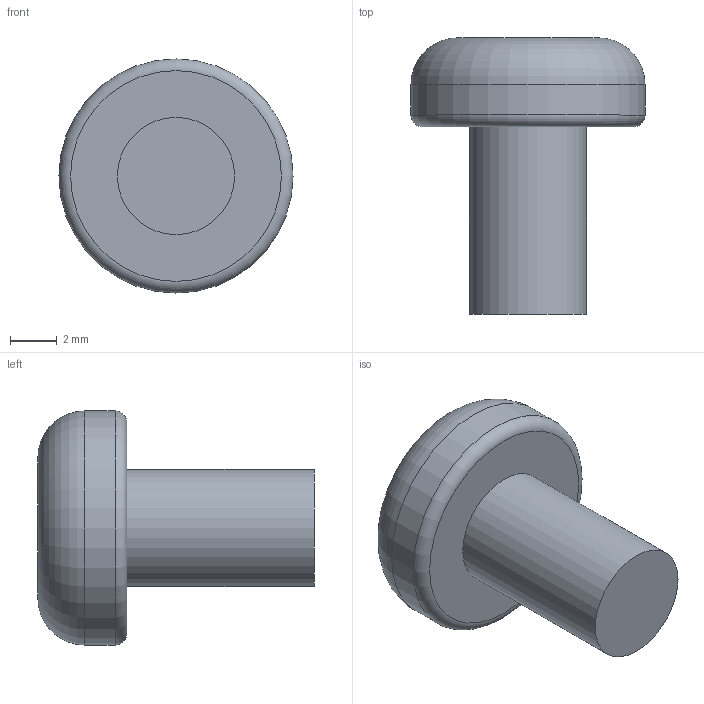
import cadquery as cq

head_diameter = 10.0
head_thickness = 3.8
crown_radius = 2.0
rim_radius = 0.5
stem_diameter = 5.0
stem_length = 8.0


def make_head():
    """Round head from the XZ plane toward +Y, with both edges rounded."""
    head = cq.Workplane("XZ").circle(head_diameter / 2).extrude(-head_thickness)
    head = head.faces(">Y").edges().fillet(crown_radius)
    return head.faces("<Y").edges().fillet(rim_radius)


def make_stem():
    """Plain cylindrical stem from the underside of the head toward -Y."""
    return cq.Workplane("XZ").circle(stem_diameter / 2).extrude(stem_length)


result = make_head().union(make_stem())